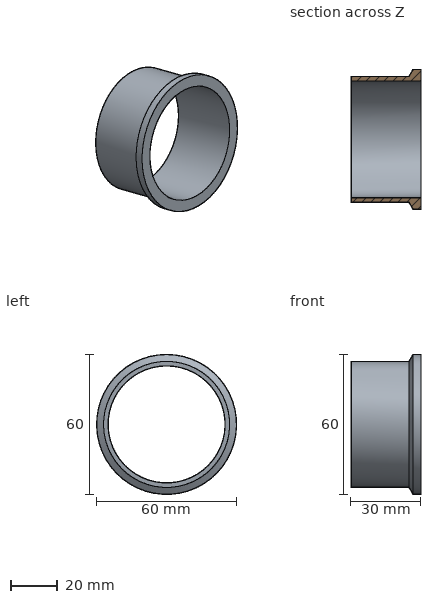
import cadquery as cq
import math

total_length = 30.0
bore_diameter = 50.0
wall_thickness = 2.0
flange_diameter = 60.0
rim_width = 3.5
cone_angle = 30.0

bore_radius = bore_diameter / 2
tube_radius = bore_radius + wall_thickness
flange_radius = flange_diameter / 2
cone_length = (flange_radius - tube_radius) * math.tan(math.radians(cone_angle))
rim_start = total_length - rim_width
cone_start = rim_start - cone_length


def flanged_ferrule():
    """Revolve the wall section, drawn as (axial, radial) points, about the X axis."""
    section = [
        (0, bore_radius),
        (0, tube_radius),
        (cone_start, tube_radius),
        (rim_start, flange_radius),
        (total_length, flange_radius),
        (total_length, bore_radius),
    ]
    return (
        cq.Workplane("XZ")
        .polyline(section)
        .close()
        .revolve(360, (0, 0, 0), (1, 0, 0))
    )


result = flanged_ferrule()